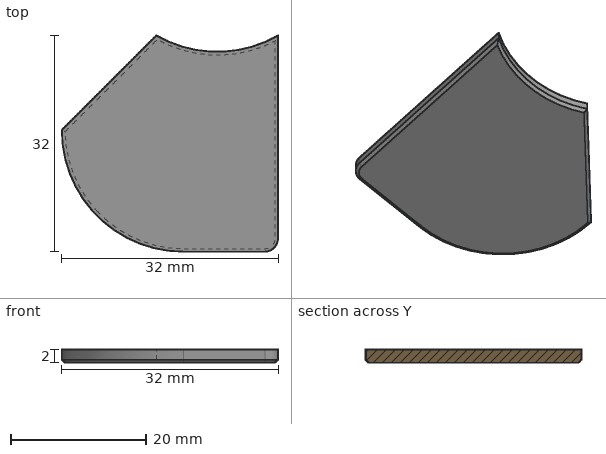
import cadquery as cq
import math

gauge_radius = 18.0
side = 32.0
thickness = 2.0
corner_radius = 2.0
bottom_chamfer = 0.48

right = side / 2
left = -right
back = side / 2
front = -back

convex_center_x = left + gauge_radius
convex_center_y = front + gauge_radius
arc_offset = gauge_radius * math.sqrt(0.5)
convex_middle = (convex_center_x - arc_offset, convex_center_y - arc_offset)

slant_top_x = left + (back - convex_center_y)

chord = right - slant_top_x
concave_depth = gauge_radius - math.sqrt(gauge_radius**2 - (chord / 2) ** 2)
concave_middle = (slant_top_x + chord / 2, back - concave_depth)


def make_plate():
    """Flat gauge blank with both measuring arcs and a sharp front right corner."""
    return (
        cq.Workplane("XY")
        .moveTo(left, convex_center_y)
        .threePointArc(convex_middle, (convex_center_x, front))
        .lineTo(right, front)
        .lineTo(right, back)
        .threePointArc(concave_middle, (slant_top_x, back))
        .close()
        .extrude(thickness)
    )


def round_corner(plate):
    """Round the front right vertical edge."""
    corner = cq.selectors.NearestToPointSelector((right, front, thickness / 2))
    return plate.edges("|Z").edges(corner).fillet(corner_radius)


def chamfer_bottom(plate):
    """Bevel the whole bottom rim."""
    return plate.faces("<Z").edges().chamfer(bottom_chamfer)


result = chamfer_bottom(round_corner(make_plate()))